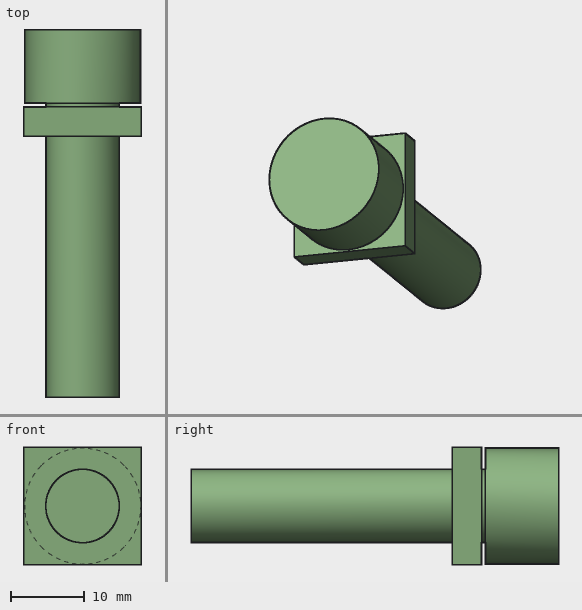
import cadquery as cq

total_length = 50.0
head_length = 10.0
head_diameter = 15.8
shank_diameter = 10.0

plate_side = 16.0
plate_thickness = 4.0
head_gap = 0.5

head_start = total_length - head_length
plate_start = head_start - head_gap - plate_thickness


def section_plane(y):
    """Plane across the screw axis at y, facing the head (+Y)."""
    return cq.Workplane("XZ", origin=(0, y, 0)).transformed(rotate=(180, 0, 0))


shank = section_plane(0).circle(shank_diameter / 2).extrude(total_length)
head = section_plane(head_start).circle(head_diameter / 2).extrude(head_length)
plate = section_plane(plate_start).rect(plate_side, plate_side).extrude(plate_thickness)

result = shank.union(head).union(plate)